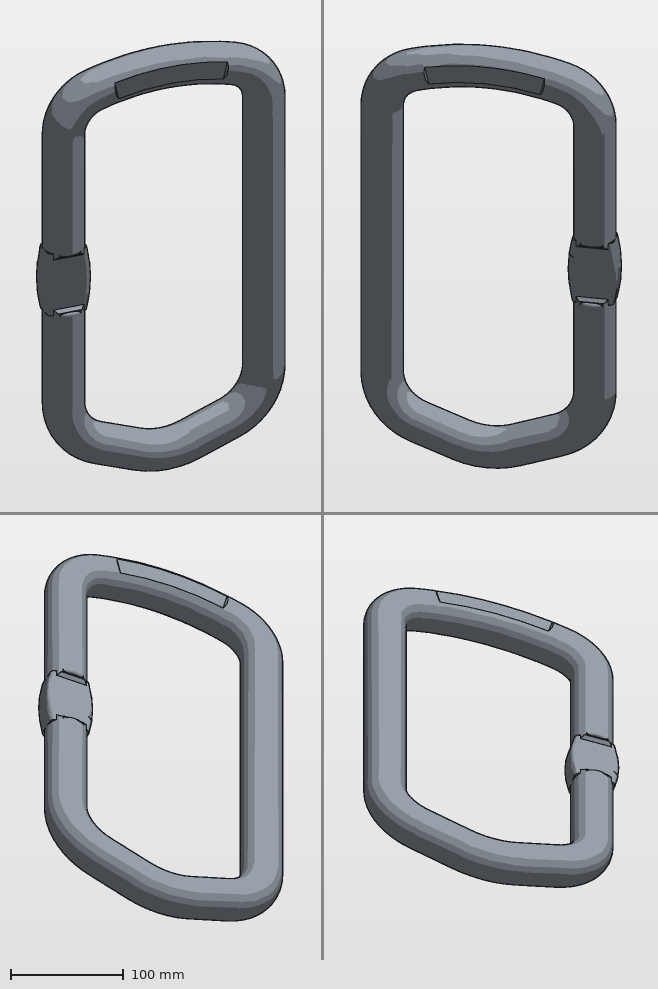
import cadquery as cq
import math

loop_height = 415.8
loop_width = 230.5
tube_diameter = 38.0
tube_radius = tube_diameter / 2
rail_y = loop_width / 2 - tube_radius
apex_z = loop_height / 2 - tube_radius

arch_radius = 241.0
top_corner_radius = 40.0

vee_angle = math.radians(20)
vee_bend_radius = 74.0
bottom_corner_radius = 50.0

flat_height = 16.5
flat_half_angle = 12.9
flat_end_chamfer = 1.5

clasp_length = 61.5
clasp_thickness = 24.0
clasp_width = 45.5
clasp_side_radius = 124.7
clasp_edge_fillet = 5.0
recess_floor_chamfer = 3.1
recess_lip_radius = 3.0


def polar_point(centre, radius, angle):
    """Point (Y, Z) at an angle measured from +Y around a centre."""
    return (centre[0] + radius * math.cos(angle), centre[1] + radius * math.sin(angle))


def mirrored(point):
    """Same point on the other side of the loop."""
    return (-point[0], point[1])


arch_centre = (0.0, apex_z - arch_radius)
top_corner_y = rail_y - top_corner_radius
top_corner_reach = arch_radius - top_corner_radius
top_corner = (
    top_corner_y,
    arch_centre[1] + math.sqrt(top_corner_reach**2 - top_corner_y**2),
)
arch_end_angle = math.acos(top_corner_y / top_corner_reach)

vee_centre = (0.0, vee_bend_radius - apex_z)
bottom_corner_y = rail_y - bottom_corner_radius
radius_step = vee_bend_radius - bottom_corner_radius
bottom_corner = (
    bottom_corner_y,
    vee_centre[1] + (bottom_corner_y * math.sin(vee_angle) - radius_step) / math.cos(vee_angle),
)
vee_normal_angle = vee_angle - math.pi / 2


def make_tube():
    """Round bar swept around the closed loop."""
    rail_top = (rail_y, top_corner[1])
    rail_bottom = (rail_y, bottom_corner[1])
    top_middle = polar_point(top_corner, top_corner_radius, arch_end_angle / 2)
    arch_end = polar_point(top_corner, top_corner_radius, arch_end_angle)
    bottom_middle = polar_point(bottom_corner, bottom_corner_radius, vee_normal_angle / 2)
    slope_top = polar_point(bottom_corner, bottom_corner_radius, vee_normal_angle)
    slope_bottom = polar_point(vee_centre, vee_bend_radius, vee_normal_angle)

    path = (
        cq.Workplane("YZ")
        .moveTo(rail_y, 0)
        .lineTo(*rail_top)
        .threePointArc(top_middle, arch_end)
        .threePointArc((0, apex_z), mirrored(arch_end))
        .threePointArc(mirrored(top_middle), mirrored(rail_top))
        .lineTo(*mirrored(rail_bottom))
        .threePointArc(mirrored(bottom_middle), mirrored(slope_top))
        .lineTo(*mirrored(slope_bottom))
        .threePointArc((0, -apex_z), slope_bottom)
        .lineTo(*slope_top)
        .threePointArc(bottom_middle, rail_bottom)
        .close()
    )
    return cq.Workplane("XY").center(0, rail_y).circle(tube_radius).sweep(path)


def make_arch_flat_cutter():
    """Sector that trims the +X face of the arch down to a flat with sloped ends."""
    flat_x = math.sqrt(tube_radius**2 - (flat_height / 2) ** 2)
    half_angle = math.radians(flat_half_angle)
    inner = arch_radius - tube_radius
    outer = arch_radius + tube_radius
    start = math.pi / 2 - half_angle
    end = math.pi / 2 + half_angle
    return (
        cq.Workplane("YZ", origin=(flat_x, 0, 0))
        .moveTo(*polar_point(arch_centre, inner, start))
        .lineTo(*polar_point(arch_centre, outer, start))
        .threePointArc((0, arch_centre[1] + outer), polar_point(arch_centre, outer, end))
        .lineTo(*polar_point(arch_centre, inner, end))
        .threePointArc((0, arch_centre[1] + inner), polar_point(arch_centre, inner, start))
        .close()
        .extrude(tube_radius)
        .faces("<X")
        .edges("%LINE")
        .chamfer(flat_end_chamfer)
    )


def make_recess_block():
    """Block that sinks the +X face of the rail to the clasp face, chamfered at its floor."""
    wall_length = clasp_length - 2 * recess_lip_radius
    return (
        cq.Workplane("YZ", origin=(clasp_thickness / 2, -rail_y, 0))
        .rect(2 * tube_diameter, wall_length)
        .extrude(tube_radius)
        .faces("<X")
        .edges("|Y")
        .chamfer(recess_floor_chamfer)
    )


def make_recess_lip_cutter():
    """Ring segment that rounds the rail over into both ends of the +X recess."""
    half_length = clasp_length / 2
    wall_z = half_length - recess_lip_radius
    lip_start = tube_radius - recess_lip_radius
    arc_offset = recess_lip_radius * math.sin(math.pi / 4)
    arc_middle = (lip_start + arc_offset, half_length - arc_offset)
    ring = (
        cq.Workplane("XZ", origin=(0, -rail_y, 0))
        .moveTo(lip_start, 0)
        .lineTo(lip_start, wall_z)
        .threePointArc(arc_middle, (tube_radius, half_length))
        .lineTo(tube_diameter, half_length)
        .lineTo(tube_diameter, 0)
        .close()
        .revolve(360, (0, 0), (0, 1))
    )
    ring = ring.union(ring.mirror("XY"))
    outer_region = (
        cq.Workplane("YZ", origin=(lip_start, -rail_y, 0))
        .rect(2 * tube_diameter, clasp_length)
        .extrude(tube_radius)
    )
    return ring.intersect(outer_region)


def make_clasp():
    """Barrel-sided plate around the rail, with rounded side edges."""
    half_length = clasp_length / 2
    half_width = clasp_width / 2
    side_bulge = clasp_side_radius - math.sqrt(clasp_side_radius**2 - half_length**2)
    end_half_width = half_width - side_bulge
    return (
        cq.Workplane("YZ", origin=(0, -rail_y, 0))
        .moveTo(-end_half_width, -half_length)
        .lineTo(end_half_width, -half_length)
        .threePointArc((half_width, 0), (end_half_width, half_length))
        .lineTo(-end_half_width, half_length)
        .threePointArc((-half_width, 0), (-end_half_width, -half_length))
        .close()
        .extrude(clasp_thickness / 2, both=True)
        .edges("not(|X or |Y)")
        .fillet(clasp_edge_fillet)
    )


tube = make_tube()
for cutter in (make_arch_flat_cutter(), make_recess_block(), make_recess_lip_cutter()):
    tube = tube.cut(cutter).cut(cutter.mirror("YZ"))

result = tube.union(make_clasp())